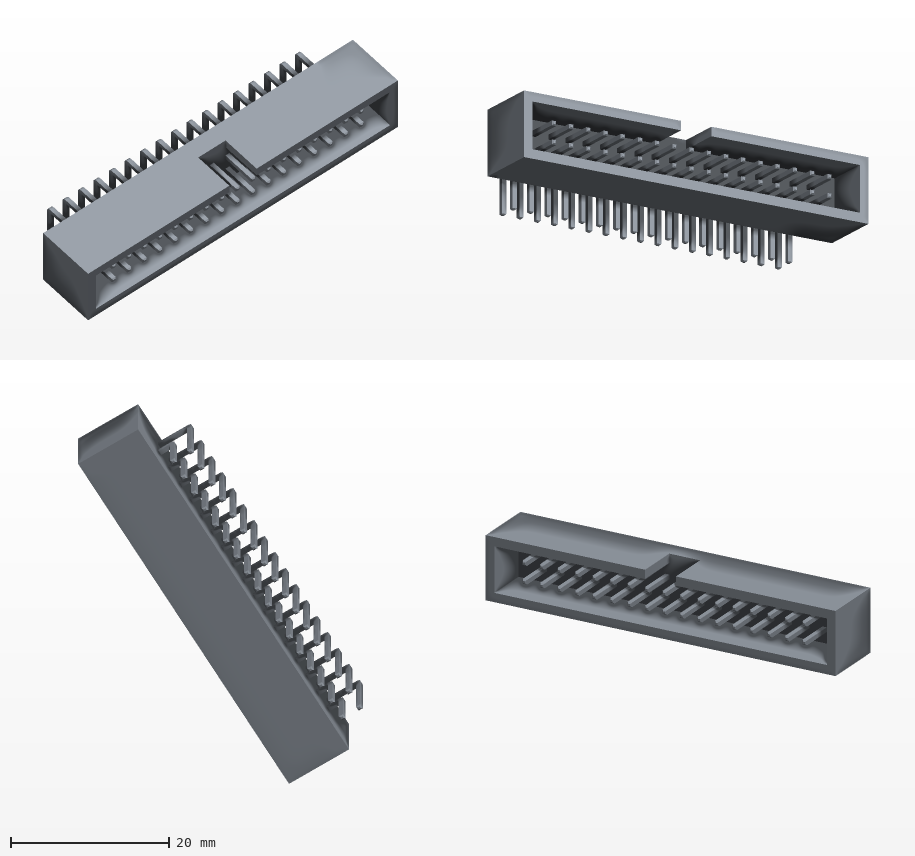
import cadquery as cq

length = 50.8
section = 8.9
wall = 1.25
floor = 2.75

notch_width = 4.45

pitch = 2.55
pins_per_row = 17
pin_half_width = 0.32
tip_chamfer = 0.18
tail_drop = 3.0
upper_tail_reach = 5.0
contact_gap = 0.9

half_section = section / 2
pin_width = 2 * pin_half_width
overlap = 0.5


def make_shroud():
    """Hollow box with its back face on X = 0 and its section centred on Z = 0."""
    depth = section - floor + overlap
    opening = section - 2 * wall
    body = cq.Workplane("XY").box(section, length, section, centered=(False, True, True))
    cavity = (
        cq.Workplane("XY")
        .box(depth, length - 2 * wall, opening, centered=(False, True, True))
        .translate((floor, 0, 0))
    )
    notch = (
        cq.Workplane("XY")
        .box(depth, notch_width, half_section + overlap, centered=(False, True, False))
        .translate((floor, 0, 0))
    )
    return body.cut(cavity).cut(notch)


def make_pin(center_z, tail_reach):
    """Square wire bent down behind the shroud, at Y = 0, with both tips chamfered."""
    tail_x = -tail_reach
    top_z = center_z + pin_half_width
    tail_z = -half_section - tail_drop
    contact_x = section - contact_gap
    contact = (
        cq.Workplane("XY")
        .box(contact_x - tail_x, pin_width, pin_width, centered=(False, True, True))
        .translate((tail_x, 0, center_z))
        .faces(">X")
        .chamfer(tip_chamfer)
    )
    tail = (
        cq.Workplane("XY")
        .box(pin_width, pin_width, top_z - tail_z, centered=(False, True, False))
        .translate((tail_x, 0, tail_z))
        .faces("<Z")
        .chamfer(tip_chamfer)
    )
    bend_corner = (
        cq.Workplane("XZ", origin=(tail_x, pin_half_width, top_z))
        .lineTo(pin_width, 0)
        .radiusArc((0, -pin_width), -pin_width)
        .close()
        .extrude(pin_width)
    )
    return contact.union(tail).cut(bend_corner)


def make_row(center_z, tail_reach):
    """One row of identical pins spread evenly along Y."""
    pin = make_pin(center_z, tail_reach).val()
    places = cq.Workplane("XY").rarray(pitch, pitch, 1, pins_per_row)
    return places.eachpoint(lambda place: pin.moved(place))


upper_row = make_row(pitch / 2, upper_tail_reach)
lower_row = make_row(-pitch / 2, upper_tail_reach - pitch)
result = make_shroud().union(upper_row).union(lower_row)